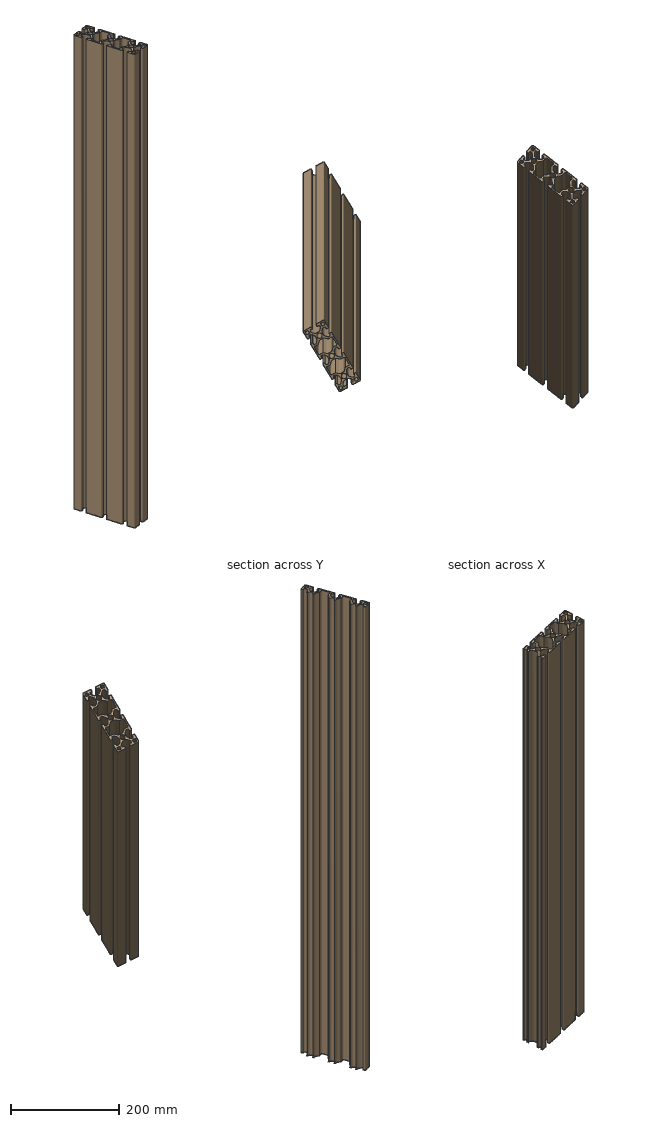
import cadquery as cq
import math

length = 1000.0
pitch = 45.0
cells = 3
width = cells * pitch
depth = pitch
outer_corner_radius = 2.0

slot_opening = 10.0
lip_thickness = 5.0
lip_edge_radius = 1.2
slot_inner_width = 20.0
slot_corner_radius = 1.5

core_radius = 7.5
bore_diameter = 10.0
web_thickness = 4.2
web_fillet_radius = 6.0

cavity_skin = 3.0
cavity_outer_width = 18.0
cavity_corner_radius = 2.0
corner_channel_offset = 6.0
corner_channel_size = 6.0
corner_channel_radius = 1.0

half_pitch = pitch / 2
cell_centres = [(i - (cells - 1) / 2) * pitch for i in range(cells)]
cavity_centres = [x + half_pitch for x in cell_centres[:-1]]

web_rise = web_thickness / math.sqrt(2)


def polar(radius, degrees):
    """Point at a distance and angle from the cell centre."""
    angle = math.radians(degrees)
    return (radius * math.cos(angle), radius * math.sin(angle))


def core_boundary():
    """Points along the +Y side of a core, from the right web to the left web.

    They are the ends and midpoints of three tangent arcs: fillet, core, fillet.
    """
    centre_distance = core_radius + web_fillet_radius
    centre_to_diagonal = web_thickness / 2 + web_fillet_radius
    fillet_angle = 45 + math.degrees(math.asin(centre_to_diagonal / centre_distance))
    centre_x, centre_y = polar(centre_distance, fillet_angle)

    def on_fillet(degrees):
        dx, dy = polar(web_fillet_radius, degrees)
        return (centre_x + dx, centre_y + dy)

    web_tangent_angle = -45
    core_tangent_angle = fillet_angle - 180
    right = [
        on_fillet(web_tangent_angle),
        on_fillet((web_tangent_angle + core_tangent_angle) / 2),
        on_fillet(core_tangent_angle),
    ]
    left = [(-x, y) for x, y in reversed(right)]
    return right + [(0, core_radius)] + left


def turned(points, degrees, x_shift):
    """Points rotated about the cell centre, then moved along X."""
    c = math.cos(math.radians(degrees))
    s = math.sin(math.radians(degrees))
    return [(x * c - y * s + x_shift, x * s + y * c) for x, y in points]


def add_core_arcs(sketch, points):
    """Continue an outline along the three arcs of a core boundary."""
    sketch = sketch.lineTo(*points[0])
    for i in range(1, len(points), 2):
        sketch = sketch.threePointArc(points[i], points[i + 1])
    return sketch


def base_plane():
    """Workplane on the lower end of the profile."""
    return cq.Workplane("XY").workplane(offset=-length / 2)


def edges_at(points):
    """Selector for the lengthwise edges passing through the given points."""
    reach = 0.1
    selector = None
    for x, y in points:
        box = cq.selectors.BoxSelector(
            (x - reach, y - reach, -reach), (x + reach, y + reach, reach))
        selector = box if selector is None else selector + box
    return selector


def mirrored_x(points):
    """The given points together with their mirror images across X = 0."""
    return points + [(-x, y) for x, y in points]


def slot_cutter():
    """T-slot through the +Y side of a cell centred on the origin."""
    half_opening = slot_opening / 2
    half_inner = slot_inner_width / 2
    lip_y = half_pitch - lip_thickness
    flare_x = half_opening + lip_edge_radius
    flare_y = half_pitch - lip_edge_radius
    sag = lip_edge_radius * (1 - math.sqrt(0.5))
    shoulder = (half_inner, half_inner + web_rise)

    sketch = base_plane().moveTo(flare_x, half_pitch)
    sketch = sketch.threePointArc((half_opening + sag, half_pitch - sag), (half_opening, flare_y))
    sketch = sketch.lineTo(half_opening, lip_y).lineTo(half_inner, lip_y).lineTo(*shoulder)
    sketch = add_core_arcs(sketch, core_boundary())
    sketch = sketch.lineTo(-shoulder[0], shoulder[1]).lineTo(-half_inner, lip_y)
    sketch = sketch.lineTo(-half_opening, lip_y).lineTo(-half_opening, flare_y)
    sketch = sketch.threePointArc((-half_opening - sag, half_pitch - sag), (-flare_x, half_pitch))
    body = sketch.close().extrude(length)
    corners = mirrored_x([(half_inner, lip_y), shoulder])
    return body.edges(edges_at(corners)).fillet(slot_corner_radius)


def cavity_cutter():
    """Hollow between two neighbouring cores, centred on the origin."""
    half_outer = cavity_outer_width / 2
    top = half_pitch - cavity_skin
    shoulder_y = half_pitch - half_outer - web_rise

    right_core = turned(core_boundary(), 90, half_pitch)[::-1]
    left_core = turned(core_boundary(), -90, -half_pitch)[::-1]

    sketch = base_plane().moveTo(half_outer, top).lineTo(-half_outer, top)
    sketch = sketch.lineTo(-half_outer, shoulder_y)
    sketch = add_core_arcs(sketch, left_core)
    sketch = sketch.lineTo(-half_outer, -shoulder_y).lineTo(-half_outer, -top)
    sketch = sketch.lineTo(half_outer, -top).lineTo(half_outer, -shoulder_y)
    sketch = add_core_arcs(sketch, right_core)
    body = sketch.lineTo(half_outer, shoulder_y).close().extrude(length)
    corners = mirrored_x([(half_outer, top), (half_outer, -top)])
    return body.edges(edges_at(corners)).fillet(cavity_corner_radius)


result = cq.Workplane("XY").box(width, depth, length).edges("|Z").fillet(outer_corner_radius)

slot = slot_cutter()
slot_places = [(x, angle) for x in cell_centres for angle in (0, 180)]
slot_places += [(cell_centres[0], 90), (cell_centres[-1], -90)]
for x, angle in slot_places:
    result = result.cut(slot.rotate((0, 0, 0), (0, 0, 1), angle).translate((x, 0, 0)))

cavity = cavity_cutter()
for x in cavity_centres:
    result = result.cut(cavity.translate((x, 0, 0)))

bore_points = [(x, 0) for x in cell_centres]
result = result.cut(base_plane().pushPoints(bore_points).circle(bore_diameter / 2).extrude(length))

channel_x = width / 2 - corner_channel_offset
channel_y = depth / 2 - corner_channel_offset
channel_points = [(x, y) for x in (-channel_x, channel_x) for y in (-channel_y, channel_y)]
channels = base_plane().pushPoints(channel_points).rect(corner_channel_size, corner_channel_size)
channels = channels.extrude(length).edges("|Z").fillet(corner_channel_radius)
result = result.cut(channels)